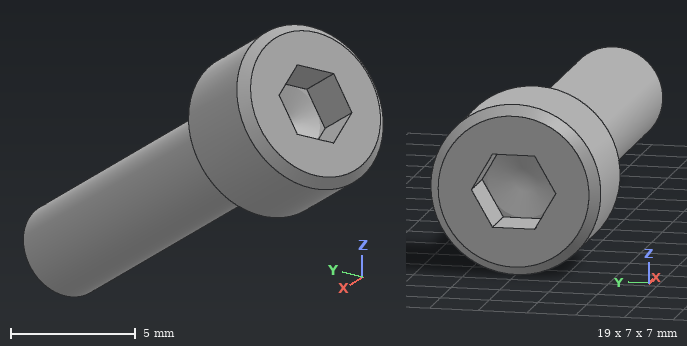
import cadquery as cq
import math

total_length = 19.0
head_diameter = 7.0
head_length = 3.99
head_chamfer = 0.4
shank_diameter = 4.0
tip_chamfer = 0.44

socket_across_flats = 3.0
socket_depth = 2.0
socket_cone_angle = 150.0


def make_body():
    """Head and shank, each chamfered at its outer end."""
    head = cq.Workplane("YZ").circle(head_diameter / 2).extrude(head_length)
    head = head.faces("<X").chamfer(head_chamfer)
    shank = cq.Workplane("YZ").circle(shank_diameter / 2).extrude(total_length)
    shank = shank.faces(">X").chamfer(tip_chamfer)
    return head.union(shank)


def make_socket():
    """Hexagonal recess with two flats parallel to Y, ending in a cone."""
    across_corners = socket_across_flats / math.cos(math.pi / 6)
    hexagon = cq.Workplane("YZ").polygon(6, across_corners).extrude(socket_depth)
    cone_radius = socket_across_flats / 2
    cone_depth = cone_radius / math.tan(math.radians(socket_cone_angle / 2))
    cone = cq.Solid.makeCone(
        cone_radius,
        0,
        cone_depth,
        pnt=cq.Vector(socket_depth, 0, 0),
        dir=cq.Vector(1, 0, 0),
    )
    return hexagon.union(cq.Workplane(obj=cone))


result = make_body().cut(make_socket())